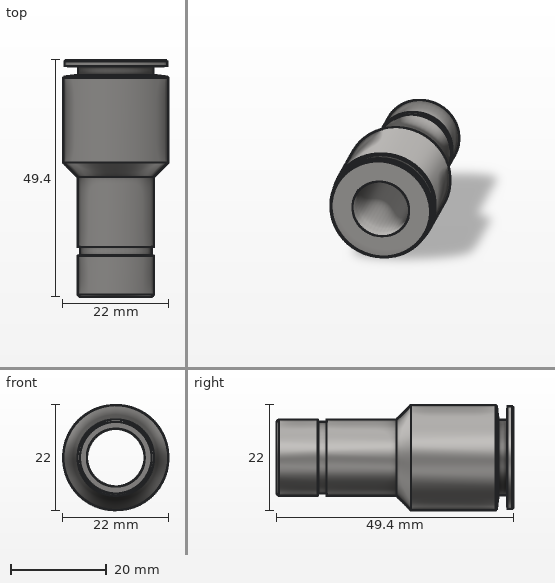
import cadquery as cq

length = 49.4
bore_radius = 12.0 / 2
stem_radius = 15.95 / 2
groove_radius = 15.0 / 2
body_radius = 22.0 / 2
neck_radius = 15.8 / 2
flange_radius = 21.5 / 2

tip_chamfer = 0.5
body_chamfer = 0.3
flange_chamfer = 0.3

groove_start = 8.6
groove_end = 10.45
groove_wall_slope = 0.15
stem_end = 25.05
shoulder_start = stem_end + (body_radius - stem_radius)
flange_thickness = 1.25
flange_start = length - flange_thickness
flange_slope = 0.1
body_end = 46.0
body_end_slope = 0.35

stem_points = [
    (bore_radius, 0),
    (stem_radius - tip_chamfer, 0),
    (stem_radius, tip_chamfer),
    (stem_radius, groove_start),
    (groove_radius, groove_start + groove_wall_slope),
    (groove_radius, groove_end),
    (stem_radius, groove_end),
    (stem_radius, stem_end),
]

body_points = [
    (body_radius, shoulder_start),
    (body_radius, body_end - body_chamfer),
    (body_radius - body_chamfer, body_end),
]

release_collar_points = [
    (neck_radius, body_end + body_end_slope),
    (neck_radius, flange_start - flange_slope),
    (flange_radius, flange_start),
    (flange_radius, length - flange_chamfer),
    (flange_radius - flange_chamfer, length),
    (bore_radius, length),
]

profile = cq.Workplane("XY").polyline(stem_points + body_points + release_collar_points).close()
result = profile.revolve(360, (0, 0, 0), (0, 1, 0))